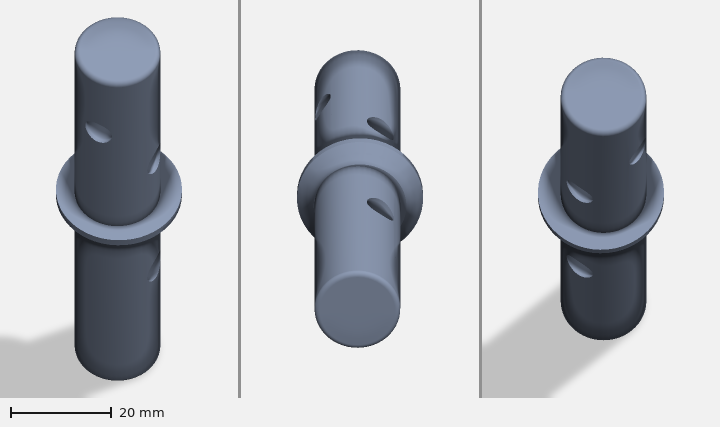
import cadquery as cq

pin_length = 100.0
pin_diameter = 17.0
pin_y = -0.6
end_fillet = 1.0

collar_diameter = 25.0
collar_height = 5.0
collar_rim_height = 1.7
collar_base_diameter = 18.4
collar_bottom = (pin_length - collar_height) / 2
taper_height = collar_height - collar_rim_height

y_hole_diameter = 6.0
y_hole_height = 82.5
x_hole_diameter = 6.5
x_hole_offset = 18.0


def make_pin():
    pin = cq.Workplane("XY").center(0, pin_y).circle(pin_diameter / 2).extrude(pin_length)
    return pin.faces("|Z").edges().fillet(end_fillet)


def make_collar():
    collar_top = collar_bottom + collar_height
    rim_bottom = collar_bottom + taper_height
    half_section = [
        (0, collar_bottom),
        (collar_base_diameter / 2, collar_bottom),
        (collar_diameter / 2, rim_bottom),
        (collar_diameter / 2, collar_top),
        (0, collar_top),
    ]
    return cq.Workplane("XZ").polyline(half_section).close().revolve(360, (0, 0), (0, 1))


def cross_hole(plane, diameter, height):
    """Cutter through the pin along the normal of the given plane."""
    return (
        cq.Workplane(plane)
        .center(0, height)
        .circle(diameter / 2)
        .extrude(pin_diameter, both=True)
    )


result = make_pin().union(make_collar())
result = result.cut(cross_hole("XZ", y_hole_diameter, y_hole_height))
for side in (-1, 1):
    x_hole_height = pin_length / 2 + side * x_hole_offset
    result = result.cut(cross_hole("YZ", x_hole_diameter, x_hole_height))